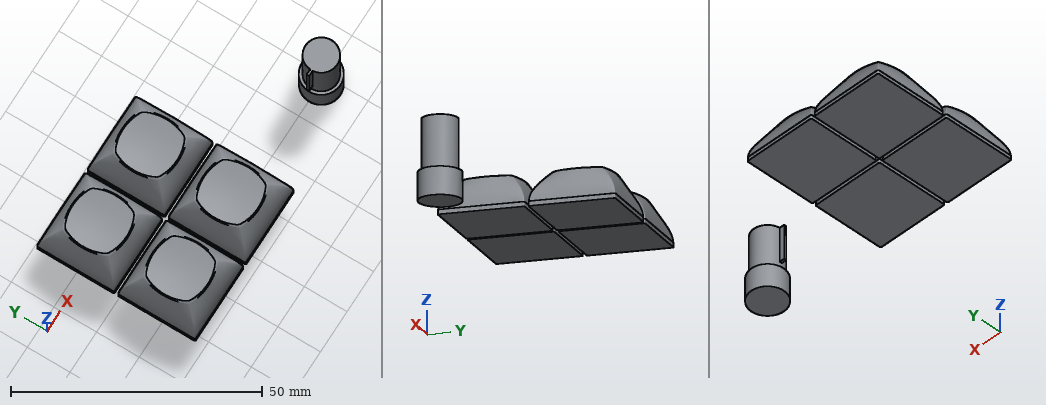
import cadquery as cq
import math

CAP_PITCH = 19.0
CAP_COLUMNS = 2
CAP_ROWS = 2

CAP_WIDTH = 18.2
SKIRT_HEIGHT = 1.0
SKIRT_CORNER_RADIUS = 0.3
CROWN_SETBACK = 0.02
CROWN_TOP = 7.65
CROWN_TOP_WIDTH = 13.1
CROWN_BULGE_HEIGHT = 4.0
TOP_CORNER_RATIO = 0.972
TOP_BOW = 0.175
CROWN_SECTIONS = 6
CORNER_STEPS = 9

DISH_RADIUS = 36.0
DISH_BOTTOM = 7.25

BEVEL_HEIGHT = 0.65
BEVEL_RUN = 1.0

KNOB_DIAMETER = 7.5
COLLAR_DIAMETER = 9.0
KNOB_BOTTOM = -4.5
COLLAR_HEIGHT = 5.9
KNOB_HEIGHT = 16.9
POINTER_REACH = 5.0
POINTER_WIDTH = 0.6
POINTER_HEIGHT = 9.0
OVERALL_LENGTH = 65.3
KNOB_X = OVERALL_LENGTH - CAP_WIDTH / 2 - COLLAR_DIAMETER / 2
KNOB_Y = -0.75


def squircle(width, corner_ratio, bow, z):
    """Closed outline in one smooth edge: a superellipse whose sides are bowed outward."""
    exponent = math.log(2) / -math.log(corner_ratio)
    points = []
    parameters = []
    steps = 8 * CORNER_STEPS
    for step in range(steps):
        quadrant, place = divmod(step, 2 * CORNER_STEPS)
        offset = (place - CORNER_STEPS) / CORNER_STEPS
        angle = math.pi / 2 * quadrant + math.pi / 4 * (1 + offset * abs(offset))
        cosine = math.cos(angle)
        sine = math.sin(angle)
        reach = 1 / (abs(cosine) ** exponent + abs(sine) ** exponent) ** (1 / exponent)
        across = reach * cosine
        along = reach * sine
        x = width / 2 * across * (1 - bow * along**2)
        y = width / 2 * along * (1 - bow * across**2)
        points.append(cq.Vector(x, y, z))
        parameters.append(step / steps)
    parameters.append(1.0)
    return cq.Wire.assembleEdges([cq.Edge.makeSpline(points, periodic=True, parameters=parameters)])


def crown():
    """Tapering keycap body: each side follows a quadratic curve that starts upright at the skirt."""
    skirt_corner_ratio = 1 - SKIRT_CORNER_RADIUS * (1 - math.sqrt(0.5)) / (CAP_WIDTH / 2)
    base_width = CAP_WIDTH - 2 * CROWN_SETBACK
    sections = []
    for section in range(CROWN_SECTIONS):
        t = section / (CROWN_SECTIONS - 1)
        z = (1 - t) ** 2 * SKIRT_HEIGHT + 2 * t * (1 - t) * CROWN_BULGE_HEIGHT + t**2 * CROWN_TOP
        width = base_width + (CROWN_TOP_WIDTH - base_width) * t**2
        corner_ratio = skirt_corner_ratio + (TOP_CORNER_RATIO - skirt_corner_ratio) * t**2
        sections.append(squircle(width, corner_ratio, TOP_BOW * t**2, z))
    return cq.Workplane(cq.Solid.makeLoft(sections))


def make_keycap():
    skirt = (
        cq.Workplane("XY")
        .rect(CAP_WIDTH, CAP_WIDTH)
        .extrude(SKIRT_HEIGHT)
        .edges("|Z")
        .fillet(SKIRT_CORNER_RADIUS)
    )
    bevel_base = squircle(CROWN_TOP_WIDTH, TOP_CORNER_RATIO, TOP_BOW, CROWN_TOP)
    bevel_tip_width = CROWN_TOP_WIDTH - 2 * BEVEL_RUN
    bevel_tip = squircle(bevel_tip_width, TOP_CORNER_RATIO, TOP_BOW, CROWN_TOP + BEVEL_HEIGHT)
    bevel = cq.Workplane(cq.Solid.makeLoft([bevel_base, bevel_tip], ruled=True))
    dish = (
        cq.Workplane("XY")
        .sphere(DISH_RADIUS)
        .rotate((0, 0, 0), (0, 1, 0), -90)
        .translate((0, 0, DISH_BOTTOM + DISH_RADIUS))
    )
    return skirt.union(crown()).union(bevel).cut(dish)


def make_knob():
    collar = cq.Workplane("XY").circle(COLLAR_DIAMETER / 2).extrude(COLLAR_HEIGHT)
    grip = cq.Workplane("XY").circle(KNOB_DIAMETER / 2).extrude(KNOB_HEIGHT)
    pointer = (
        cq.Workplane("XY", origin=(-POINTER_REACH / 2, 0, KNOB_HEIGHT - POINTER_HEIGHT))
        .rect(POINTER_REACH, POINTER_WIDTH)
        .extrude(POINTER_HEIGHT)
    )
    return collar.union(grip).union(pointer).clean().translate((KNOB_X, KNOB_Y, KNOB_BOTTOM))


keycap = make_keycap()
keycaps = []
for row in range(CAP_ROWS):
    for column in range(CAP_COLUMNS):
        keycaps.append(keycap.translate((column * CAP_PITCH, row * CAP_PITCH, 0)))

knob = make_knob()

result = cq.Compound.makeCompound([*[cap.val() for cap in keycaps], knob.val()])